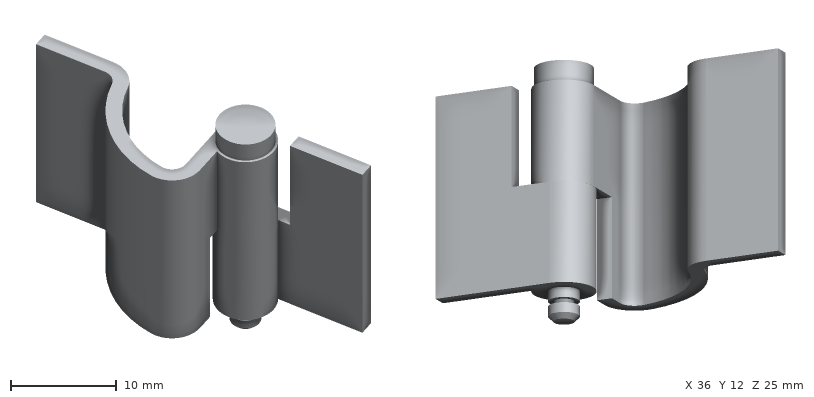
import cadquery as cq
import math

total_length = 36.0
total_depth = 12.0
leaf_height = 19.98
thickness = 1.6
pin_radius = 1.5
axis_to_left_end = 24.0
left_flat_length = 7.6
sweep_radius = 12.0
leaf_clearance = 4.0
head_radius = 2.85
head_height = 2.0

tail_length = 3.0
groove_radius = 1.0
groove_offset = 1.0
groove_width = 0.5
tip_chamfer = 0.5

knuckle_radius = pin_radius + thickness
knuckle_length = leaf_height / 2
bend_inner = pin_radius
bend_outer = bend_inner + thickness
left_end = -axis_to_left_end
right_end = left_end + total_length
back = knuckle_radius
front = back - total_depth
flange_left = -knuckle_radius
flange_right = flange_left + thickness

upper_bend = (left_end + left_flat_length, back - bend_outer)
lower_bend = (flange_right - bend_outer, front + bend_outer)


def sweep_centre():
    """Intersect the circles of possible sweep centres around the two bend centres."""
    to_upper = sweep_radius + bend_inner
    to_lower = sweep_radius - bend_outer
    dx = lower_bend[0] - upper_bend[0]
    dy = lower_bend[1] - upper_bend[1]
    distance = math.hypot(dx, dy)
    along = (to_upper**2 - to_lower**2 + distance**2) / (2 * distance)
    across = math.sqrt(to_upper**2 - along**2)
    return (
        upper_bend[0] + (along * dx - across * dy) / distance,
        upper_bend[1] + (along * dy + across * dx) / distance,
    )


def polar(centre, radius, angle):
    """Point on a circle, angle in radians."""
    return (centre[0] + radius * math.cos(angle), centre[1] + radius * math.sin(angle))


def offset_strip():
    """Constant-thickness strip: flat tab, bend, large sweep, bend, straight flange."""
    sweep = sweep_centre()
    upper_angle = math.atan2(sweep[1] - upper_bend[1], sweep[0] - upper_bend[0])
    lower_angle = math.atan2(lower_bend[1] - sweep[1], lower_bend[0] - sweep[0])
    sweep_start = upper_angle - math.pi
    sweep_middle = (sweep_start + lower_angle) / 2
    upper_middle = (math.pi / 2 + upper_angle) / 2
    lower_middle = lower_angle / 2
    concave_radius = sweep_radius - thickness

    return (
        cq.Workplane("XY")
        .moveTo(left_end, back)
        .lineTo(upper_bend[0], back)
        .threePointArc(
            polar(upper_bend, bend_outer, upper_middle),
            polar(upper_bend, bend_outer, upper_angle),
        )
        .threePointArc(
            polar(sweep, concave_radius, sweep_middle),
            polar(sweep, concave_radius, lower_angle),
        )
        .threePointArc(
            polar(lower_bend, bend_inner, lower_middle),
            (flange_left, lower_bend[1]),
        )
        .lineTo(flange_left, 0)
        .lineTo(flange_right, 0)
        .lineTo(flange_right, lower_bend[1])
        .threePointArc(
            polar(lower_bend, bend_outer, lower_middle),
            polar(lower_bend, bend_outer, lower_angle),
        )
        .threePointArc(
            polar(sweep, sweep_radius, sweep_middle),
            polar(sweep, sweep_radius, sweep_start),
        )
        .threePointArc(
            polar(upper_bend, bend_inner, upper_middle),
            (upper_bend[0], back - thickness),
        )
        .lineTo(left_end, back - thickness)
        .close()
        .extrude(leaf_height)
    )


def knuckle(bottom):
    """Solid barrel around the pin axis; its bore is cut after it joins its leaf."""
    return cq.Workplane("XY", origin=(0, 0, bottom)).circle(knuckle_radius).extrude(knuckle_length)


def pin_bore():
    """Full-height hole for the pin."""
    return cq.Workplane("XY").circle(pin_radius).extrude(leaf_height)


def make_offset_leaf():
    """Bent leaf with the upper knuckle, its flange notched around the lower knuckle."""
    notch = (
        cq.Workplane("XY")
        .rect(2 * leaf_clearance, 2 * leaf_clearance)
        .extrude(knuckle_length)
    )
    return offset_strip().cut(notch).union(knuckle(knuckle_length)).cut(pin_bore())


def make_flat_leaf():
    """Flat leaf with the lower knuckle, its plate notched beside the upper knuckle."""
    plate = (
        cq.Workplane("XZ", origin=(0, back, 0))
        .moveTo(0, 0)
        .lineTo(right_end, 0)
        .lineTo(right_end, leaf_height)
        .lineTo(leaf_clearance, leaf_height)
        .lineTo(leaf_clearance, knuckle_length)
        .lineTo(0, knuckle_length)
        .close()
        .extrude(thickness)
    )
    return plate.union(knuckle(0)).cut(pin_bore())


def make_pin():
    """Headed pin with a retaining groove and a chamfered tip, revolved about Z."""
    head_top = leaf_height + head_height
    groove_top = -groove_offset
    groove_bottom = groove_top - groove_width
    return (
        cq.Workplane("XZ")
        .moveTo(0, head_top)
        .lineTo(head_radius, head_top)
        .lineTo(head_radius, leaf_height)
        .lineTo(pin_radius, leaf_height)
        .lineTo(pin_radius, groove_top)
        .lineTo(groove_radius, groove_top)
        .lineTo(groove_radius, groove_bottom)
        .lineTo(pin_radius, groove_bottom)
        .lineTo(pin_radius, tip_chamfer - tail_length)
        .lineTo(pin_radius - tip_chamfer, -tail_length)
        .lineTo(0, -tail_length)
        .close()
        .revolve(360, (0, 0, 0), (0, 1, 0))
    )


offset_leaf = make_offset_leaf()
flat_leaf = make_flat_leaf()
pin = make_pin()

result = cq.Compound.makeCompound([offset_leaf.val(), flat_leaf.val(), pin.val()])